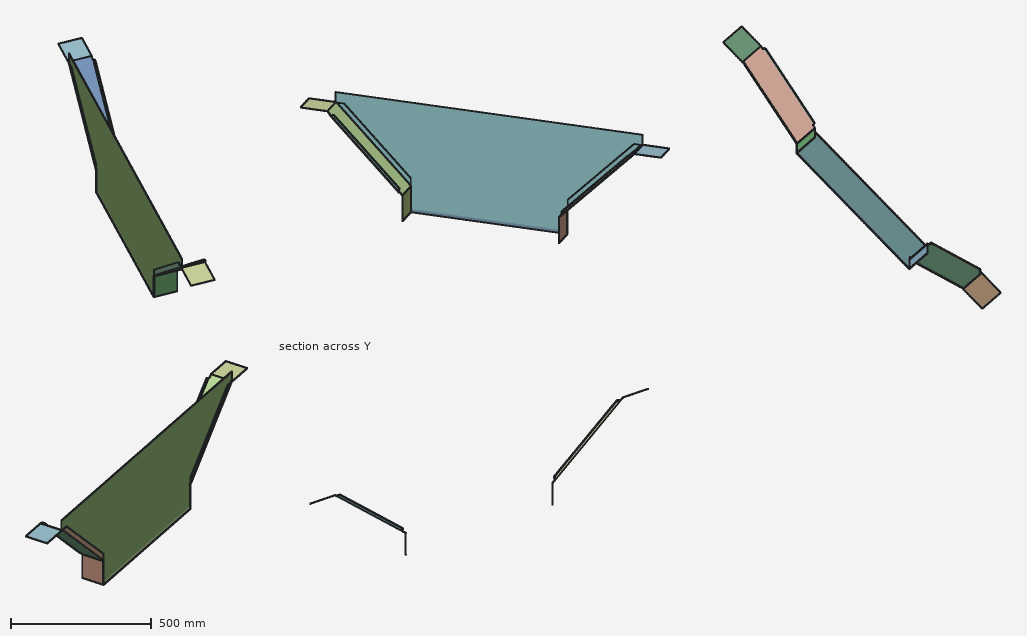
import cadquery as cq
import math

overall_length = 1362.0
overall_depth = 98.0
overall_height = 424.0
sheet = 2.0

front_y = -overall_depth / 2
back_y = overall_depth / 2

flange_length = 101.0
flange_z = 383.0
wall_x = 297.0
rear_set_in = 8.5
fold_x = overall_length / 2 - flange_length
wall_top_z = flange_z - (fold_x - wall_x)
rail_back_y = back_y - rear_set_in
fold_shift = sheet * math.tan(math.radians(22.5))

bend_radius = 4.0
hem_radius = 5.0
lip_width = 23.0
hem_leaf = 4.0
hem_end_gap = 10.0

panel_front_y = front_y + sheet
panel_inset = bend_radius * math.sqrt(2)
flare_height = 14.0
flare_depth = 1.8


def prism(points, y_front, y_back):
    """Extrude an X-Z outline between two Y positions."""
    outline = cq.Workplane("XZ", origin=(0, y_back, 0)).polyline(points).close()
    return outline.extrude(y_back - y_front)


def folded_strip():
    """Flange, slope and wall folded from one strip, behind the lip bend."""
    return prism(
        [
            (overall_length / 2, flange_z),
            (fold_x, flange_z),
            (wall_x, wall_top_z),
            (wall_x, 0),
            (wall_x - sheet, 0),
            (wall_x - sheet, wall_top_z + fold_shift),
            (fold_x - fold_shift, flange_z + sheet),
            (overall_length / 2, flange_z + sheet),
        ],
        front_y + bend_radius,
        rail_back_y,
    )


def front_margins():
    """Front margins of the flange and of the wall, beside the lip bend."""
    flange = prism(
        [
            (fold_x, flange_z),
            (overall_length / 2, flange_z),
            (overall_length / 2, flange_z + sheet),
            (fold_x, flange_z + sheet),
        ],
        front_y,
        front_y + bend_radius,
    )
    wall = prism(
        [(wall_x - sheet, 0), (wall_x, 0), (wall_x, wall_top_z), (wall_x - sheet, wall_top_z)],
        front_y,
        front_y + bend_radius,
    )
    return flange.union(wall)


def slope_bar(section):
    """Extrude a cross-section along the slope, past both of its ends.

    The section's first coordinate is Y, its second the distance inward from the outer face.
    """
    diagonal = math.sqrt(0.5)
    start = (wall_x - lip_width, 0, wall_top_z - lip_width)
    plane = cq.Plane(origin=start, xDir=(0, 1, 0), normal=(diagonal, 0, diagonal))
    length = (fold_x - wall_x + 2 * lip_width) / diagonal
    return section(cq.Workplane(plane)).close().extrude(length)


def trim_to_slope(bar, end_gap):
    """Cut a bar level below the flange and upright beside the wall."""
    left = wall_x + end_gap
    right = fold_x + lip_width
    bottom = wall_top_z - lip_width
    top = flange_z - end_gap
    window = [(left, bottom), (right, bottom), (right, top), (left, top)]
    return bar.intersect(prism(window, front_y, back_y))


def lip_section(plane):
    """Lip and the bend that joins it to the front of the slope."""
    bend_y = front_y + bend_radius
    inner_radius = bend_radius - sheet
    inner_reach = inner_radius * math.sqrt(0.5)
    return (
        plane.moveTo(front_y, lip_width)
        .lineTo(front_y, bend_radius)
        .tangentArcPoint((bend_y, 0), relative=False)
        .lineTo(bend_y, sheet)
        .threePointArc((bend_y - inner_reach, bend_radius - inner_reach), (front_y + sheet, bend_radius))
        .lineTo(front_y + sheet, lip_width)
    )


def hem_section(plane):
    """Hem folded back over the inner side of the slope's rear edge."""
    arc_y = back_y - hem_radius
    leaf_y = arc_y - hem_leaf
    top = 2 * hem_radius
    return (
        plane.moveTo(rail_back_y, 0)
        .lineTo(arc_y, 0)
        .threePointArc((back_y, hem_radius), (arc_y, top))
        .lineTo(leaf_y, top)
        .lineTo(leaf_y, top - sheet)
        .lineTo(arc_y, top - sheet)
        .threePointArc((back_y - sheet, hem_radius), (arc_y, sheet))
        .lineTo(rail_back_y, sheet)
    )


def make_rail():
    """Right-hand rail; the left-hand one is its mirror image."""
    lip = trim_to_slope(slope_bar(lip_section), 0)
    hem = trim_to_slope(slope_bar(hem_section), hem_end_gap)
    return folded_strip().union(front_margins()).union(lip).union(hem)


def panel_sheet():
    """Flat panel lying behind the lips, with its bottom edge above the flare."""
    inner_x = wall_x - sheet
    ledge_z = flange_z + sheet
    half_outline = [
        (fold_x, overall_height),
        (fold_x, ledge_z),
        (fold_x - panel_inset + sheet, ledge_z),
        (inner_x, wall_top_z + panel_inset - sheet),
        (inner_x, flare_height),
    ]
    mirrored = [(-x, z) for x, z in reversed(half_outline)]
    return prism(half_outline + mirrored, panel_front_y, panel_front_y + sheet)


def bottom_flare():
    """Bottom edge of the panel, curving forward between the walls."""
    radius = (flare_height**2 + flare_depth**2) / (2 * flare_depth)
    tilt = math.asin(flare_height / radius)
    outer = radius + sheet
    center_y = panel_front_y - radius

    def on_arc(arc_radius, angle):
        return (center_y + arc_radius * math.cos(angle), flare_height - arc_radius * math.sin(angle))

    rear_tilt = math.asin(flare_height / outer)
    half_width = wall_x - sheet
    return (
        cq.Workplane("YZ", origin=(-half_width, 0, 0))
        .moveTo(*on_arc(radius, 0))
        .threePointArc(on_arc(radius, tilt / 2), on_arc(radius, tilt))
        .lineTo(*on_arc(outer, rear_tilt))
        .threePointArc(on_arc(outer, rear_tilt / 2), on_arc(outer, 0))
        .close()
        .extrude(2 * half_width)
    )


panel = panel_sheet().union(bottom_flare())
right_rail = make_rail()
rails = [rail.solids().val() for rail in (right_rail, right_rail.mirror("YZ"))]

result = cq.Compound.makeCompound([panel.solids().val(), *rails])